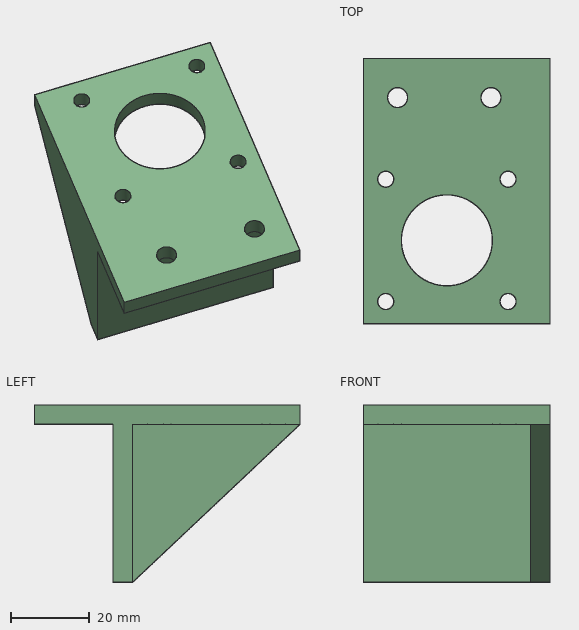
import cadquery as cq

thickness = 5.0
motor_size = 42.3
motor_hole_spacing = 31.0
motor_hole_diameter = 4.0
pilot_diameter = 23.0
rear_depth = 25.0
ledge_depth = 19.9
wall_height = 40.0
mount_hole_diameter = 5.0
mount_hole_count = 2
mount_hole_spacing = 23.67
mount_hole_side_offset = 8.65
mount_hole_setback = 9.97

width = motor_size + thickness
depth = motor_size + rear_depth
wall_front = depth - ledge_depth - thickness
motor_center = (motor_size / 2, motor_size / 2)


def block(corner, size):
    """Box of the given size, growing from its lowest corner."""
    return cq.Workplane("XY").box(*size, centered=False).translate(corner)


def make_gusset():
    """Triangular rib on the right side, between the plate and the wall."""
    return (
        cq.Workplane("YZ", origin=(motor_size, 0, 0))
        .moveTo(0, wall_height)
        .lineTo(wall_front, wall_height)
        .lineTo(wall_front, 0)
        .close()
        .extrude(thickness)
    )


def plate_holes(centers, diameter):
    """Cylinders that pass through the plate at the given centers."""
    return (
        cq.Workplane("XY", origin=(0, 0, wall_height))
        .pushPoints(centers)
        .circle(diameter / 2)
        .extrude(thickness)
    )


def motor_hole_centers():
    """Corners of the square motor bolt pattern."""
    half = motor_hole_spacing / 2
    center_x, center_y = motor_center
    return [(center_x + sx * half, center_y + sy * half) for sx in (-1, 1) for sy in (-1, 1)]


def mount_hole_centers():
    """Pair of mounting holes in the rear ledge."""
    y = depth - mount_hole_setback
    return [(mount_hole_side_offset + i * mount_hole_spacing, y) for i in range(mount_hole_count)]


plate = block((0, 0, wall_height), (width, depth, thickness))
wall = block((0, wall_front, 0), (width, thickness, wall_height))

bracket = plate.union(wall).union(make_gusset())
bracket = bracket.cut(plate_holes([motor_center], pilot_diameter))
bracket = bracket.cut(plate_holes(motor_hole_centers(), motor_hole_diameter))
bracket = bracket.cut(plate_holes(mount_hole_centers(), mount_hole_diameter))

result = bracket